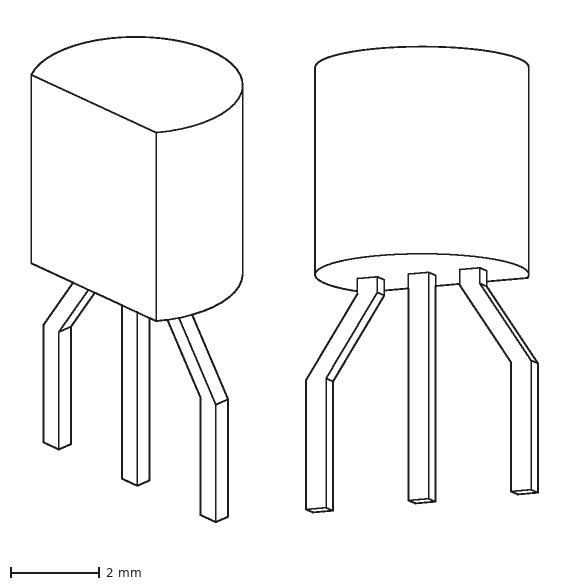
import cadquery as cq
import math

body_radius = 2.42
body_height = 4.78
flat_distance = 1.33
flat_half_width = math.sqrt(body_radius**2 - flat_distance**2)

total_height = 10.0
lead_length = total_height - body_height
lead_width = 0.5
lead_thickness = 0.39
tip_pitch = 2.54
body_pitch = tip_pitch / 2
upper_bend_z = lead_length - 0.36
lower_bend_z = 2.98


def make_body():
    """Body standing on top of the leads."""
    return (
        cq.Workplane("XY", origin=(0, 0, lead_length))
        .moveTo(-flat_half_width, -flat_distance)
        .threePointArc((0, body_radius), (flat_half_width, -flat_distance))
        .close()
        .extrude(body_height)
    )


def make_lead(body_x, tip_x):
    """Lead that leaves the body at body_x and ends at z = 0 at tip_x."""
    center_line = [
        (tip_x, 0),
        (tip_x, lower_bend_z),
        (body_x, upper_bend_z),
        (body_x, lead_length),
    ]
    left_edge = [(x - lead_width / 2, z) for x, z in center_line]
    right_edge = [(x + lead_width / 2, z) for x, z in center_line]
    return (
        cq.Workplane("XZ")
        .polyline(left_edge + right_edge[::-1])
        .close()
        .extrude(lead_thickness / 2, both=True)
    )


result = make_body()
for side in (-1, 0, 1):
    result = result.union(make_lead(side * body_pitch, side * tip_pitch))
result = result.clean()